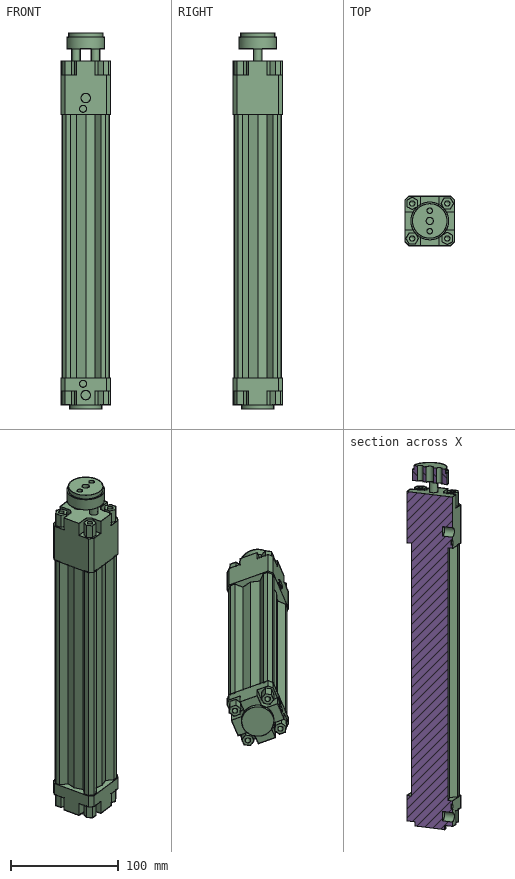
import cadquery as cq
import math

block_width = 46.0
block_chamfer = 3.6
collar_height = 4.0
cap_height = 25.0
tube_length = 244.0
head_height = 50.0
cap_bottom = collar_height
cap_top = cap_bottom + cap_height
head_bottom = cap_top + tube_length
head_top = head_bottom + head_height

collar_diameter = 30.0

pocket_depth = 13.0
web_half_width = 8.5
pocket_fillet = 5.0
post_offset = 32.5 / 2
post_across_flats = 10.0
post_hole_diameter = 4.92
post_hole_depth = 12.0
drill_tip_angle = 118.0

tube_half_width = 22.0
tube_chamfer = 3.6
groove_half_width = 14.2
groove_depth = 5.7
ridge_height = 2.3

port_diameter = 8.7
port_depth = 10.0
head_port_z = head_bottom + 15.5
cap_port_z = cap_bottom + 9.0
needle_diameter = 6.5
needle_depth = 1.5
needle_x = -2.5
needle_inset = 5.5

rod_diameter = 8.0
rod_offset = 9.0
rod_length = 11.0
plate_diameter = 35.0
plate_height = 15.0
step_diameter = 32.0
step_height = 4.0
center_hole_diameter = 6.65
side_hole_diameter = 5.0
side_hole_offset = 9.5


def corner_post_hole(end_z, inward):
    """Blind hole with a conical drill tip, entering at end_z along the inward direction."""
    radius = post_hole_diameter / 2
    tip_height = radius / math.tan(math.radians(drill_tip_angle / 2))
    full_depth_z = end_z + inward * post_hole_depth
    tip_z = full_depth_z + inward * tip_height
    return (
        cq.Workplane("XZ")
        .moveTo(0, end_z)
        .lineTo(radius, end_z)
        .lineTo(radius, full_depth_z)
        .lineTo(0, tip_z)
        .close()
        .revolve(360, (0, 0, 0), (0, 1, 0))
        .translate((-post_offset, -post_offset, 0))
    )


def end_block(bottom, height, pocket_bottom, end_z, inward):
    """Chamfered square block with four corner pockets and a drilled hexagonal post in each."""
    block = (
        cq.Workplane("XY", origin=(0, 0, bottom))
        .rect(block_width, block_width)
        .extrude(height)
        .edges("|Z")
        .chamfer(block_chamfer)
    )
    pocket_size = block_width / 2 - web_half_width
    pocket_center = web_half_width + pocket_size / 2
    pocket = (
        cq.Workplane("XY", origin=(-pocket_center, -pocket_center, pocket_bottom))
        .rect(pocket_size, pocket_size)
        .extrude(pocket_depth)
        .edges("|Z and >X and >Y")
        .fillet(pocket_fillet)
    )
    post_across_corners = post_across_flats / math.cos(math.pi / 6)
    post = (
        cq.Workplane("XY", origin=(-post_offset, -post_offset, pocket_bottom))
        .polygon(6, post_across_corners)
        .extrude(pocket_depth)
    )
    hole = corner_post_hole(end_z, inward)
    for quarter in range(4):
        turn = ((0, 0, 0), (0, 0, 1), 90 * quarter)
        block = block.cut(pocket.rotate(*turn)).union(post.rotate(*turn)).cut(hole.rotate(*turn))
    return block


def tube():
    """Square extrusion with chamfered edges and a ridged groove on all four sides."""
    body = (
        cq.Workplane("XY", origin=(0, 0, cap_top))
        .rect(2 * tube_half_width, 2 * tube_half_width)
        .extrude(tube_length)
        .edges("|Z")
        .chamfer(tube_chamfer)
    )
    floor_half_width = groove_half_width - groove_depth
    floor_y = groove_depth - tube_half_width
    groove = (
        cq.Workplane("XY", origin=(0, 0, cap_top))
        .moveTo(-groove_half_width, -tube_half_width)
        .lineTo(-floor_half_width, floor_y)
        .lineTo(0, floor_y - ridge_height)
        .lineTo(floor_half_width, floor_y)
        .lineTo(groove_half_width, -tube_half_width)
        .close()
        .extrude(tube_length)
    )
    for quarter in range(4):
        body = body.cut(groove.rotate((0, 0, 0), (0, 0, 1), 90 * quarter))
    return body


def front_hole(x, z, diameter, depth):
    """Flat-bottomed hole bored from the -Y face of an end block."""
    return (
        cq.Workplane("XZ", origin=(x, -block_width / 2, z))
        .circle(diameter / 2)
        .extrude(-depth)
    )


def build_housing():
    """Cap, tube and head as one solid, with the collar, ports and needle-screw holes."""
    cap = end_block(cap_bottom, cap_height, cap_bottom, cap_bottom, 1)
    head = end_block(head_bottom, head_height, head_top - pocket_depth, head_top, -1)
    collar = cq.Workplane("XY").circle(collar_diameter / 2).extrude(collar_height)
    body = cap.union(tube()).union(head).union(collar)
    for port_z in (cap_port_z, head_port_z):
        body = body.cut(front_hole(0, port_z, port_diameter, port_depth))
    for needle_z in (cap_top - needle_inset, head_bottom + needle_inset):
        body = body.cut(front_hole(needle_x, needle_z, needle_diameter, needle_depth))
    return body


def build_rod_plate():
    """Stepped round plate with three through holes, carried on two rods that meet the head."""
    plate_bottom = head_top + rod_length
    plate = (
        cq.Workplane("XY", origin=(0, 0, plate_bottom))
        .circle(plate_diameter / 2)
        .extrude(plate_height - step_height)
        .faces(">Z")
        .workplane()
        .circle(step_diameter / 2)
        .extrude(step_height)
        .faces(">Z")
        .workplane()
        .hole(center_hole_diameter)
        .faces(">Z")
        .workplane()
        .pushPoints([(0, -side_hole_offset), (0, side_hole_offset)])
        .hole(side_hole_diameter)
    )
    rods = (
        cq.Workplane("XY", origin=(0, 0, head_top))
        .pushPoints([(-rod_offset, 0), (rod_offset, 0)])
        .circle(rod_diameter / 2)
        .extrude(rod_length)
    )
    return plate.union(rods)


housing = build_housing()
rod_plate = build_rod_plate()

result = cq.Compound.makeCompound([housing.val(), rod_plate.val()])